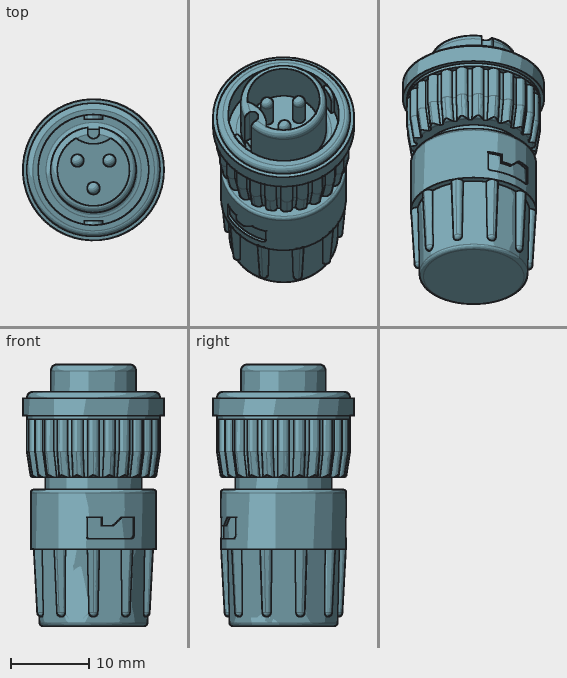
import cadquery as cq
import math

TOTAL_HEIGHT = 33.4
GRIP_RIB_END_Z = 1.8
COLLAR_BOTTOM_Z = 9.85
COLLAR_TOP_Z = 17.45
NUT_BOTTOM_Z = 19.0
NUT_TAPER_END_Z = 22.3
KNURL_TOP_Z = 26.4
FLANGE_BOTTOM_Z = 26.85
FLANGE_TOP_Z = 29.1
NUT_TOP_Z = 29.9
CAVITY_FLOOR_Z = 26.0

GRIP_BOTTOM_RADIUS = 6.9
GRIP_TOP_RADIUS = 7.15
GRIP_EDGE_FILLET = 0.5
GRIP_RIB_COUNT = 10
GRIP_RIB_TOP_RADIUS = 0.78
GRIP_RIB_END_RADIUS = 0.58
GRIP_RIB_LIFT = 0.05
GRIP_RIB_OVERLAP = 0.2

COLLAR_RADIUS = 8.0
COLLAR_EDGE_FILLET = 0.4
MARK_DEPTH = 0.35
MARK_ANGLE = 17.5
MARK_WIDTH = 6.3
MARK_BOTTOM_Z = 11.15
MARK_TOP_Z = 13.9
MARK_NOTCH_WIDTH = 2.6
MARK_NOTCH_FLAT = 1.4
MARK_NOTCH_Z = 12.8
MARK_LEFT_CORNER = 0.25
MARK_RIGHT_CORNER = 0.6

NECK_RADIUS = 6.17

FLANGE_RADIUS = 18.03 / 2
NUT_RADIUS = 8.5
NUT_CORE_RADIUS = 7.9
NUT_TAPER = 0.5
NUT_TOP_FILLET = 0.75
NUT_BORE_RADIUS = 7.05
KNURL_COUNT = 24
KNURL_RADIUS = 0.76
KNURL_END_FILLET = 0.4
BAYONET_KEY_WIDTH = 2.4
BAYONET_KEY_INNER_Y = 6.47
BAYONET_KEY_TOP_Z = 29.85

SHELL_RADIUS = 5.45
SHELL_BORE_RADIUS = 4.6
HUB_RADIUS = 5.2
HUB_FILLET = 0.87
HUB_TOP_Z = CAVITY_FLOOR_Z + HUB_FILLET
POLAR_KEY_RADIUS = 3.7
POLAR_KEY_INNER_Y = 3.3
KEY_SLOT_RADIUS = 0.75
KEY_SLOT_CENTER_Y = 4.72
CONTACT_COUNT = 3
CONTACT_CIRCLE_RADIUS = 2.35
CONTACT_RADIUS = 0.8
CONTACT_TIP_Z = 31.5


def cylinder(radius, bottom, top):
    return cq.Workplane("XY").workplane(offset=bottom).circle(radius).extrude(top - bottom)


def cone(bottom_radius, top_radius, bottom, top):
    height = top - bottom
    return cq.Workplane(cq.Solid.makeCone(bottom_radius, top_radius, height, cq.Vector(0, 0, bottom)))


def leaning_rod(radius, bottom_x, top_x, bottom, top):
    """Rod with level ends that leans in the XZ plane."""
    return (
        cq.Workplane("XY")
        .workplane(offset=bottom)
        .center(bottom_x, 0)
        .circle(radius)
        .workplane(offset=top - bottom)
        .center(top_x - bottom_x, 0)
        .circle(radius)
        .loft(ruled=True)
    )


def around_axis(shape, count, start_angle):
    """Copies of a shape, evenly spaced around Z."""
    step = 360 / count
    return [shape.rotate((0, 0, 0), (0, 0, 1), start_angle + i * step) for i in range(count)]


def join(body, shapes):
    """Fuse a list of shapes to a body in one step."""
    return cq.Workplane(body.val().fuse(*[shape.val() for shape in shapes]))


def make_grip():
    grip = cone(GRIP_BOTTOM_RADIUS, GRIP_TOP_RADIUS, 0, COLLAR_BOTTOM_Z)
    grip = grip.faces("<Z").edges().fillet(GRIP_EDGE_FILLET)
    rib_foot = cq.Vector(GRIP_BOTTOM_RADIUS + GRIP_RIB_LIFT, 0, GRIP_RIB_END_Z)
    rib_head = cq.Vector(GRIP_TOP_RADIUS + GRIP_RIB_LIFT, 0, COLLAR_BOTTOM_Z + GRIP_RIB_OVERLAP)
    rib_axis = rib_head - rib_foot
    rib = cq.Workplane(
        cq.Solid.makeCone(GRIP_RIB_END_RADIUS, GRIP_RIB_TOP_RADIUS, rib_axis.Length, rib_foot, rib_axis)
    )
    tip = cq.Workplane("XY").sphere(GRIP_RIB_END_RADIUS)
    rib = rib.union(tip.translate(rib_foot))
    return join(grip, around_axis(rib, GRIP_RIB_COUNT, -90))


def make_mark_cutter():
    """Recess with a one-sided sloping notch in its upper edge, cut square to the collar at its middle."""
    right = MARK_WIDTH / 2
    notch_right = MARK_NOTCH_WIDTH / 2
    prism = (
        cq.Workplane("XZ")
        .moveTo(-right, MARK_BOTTOM_Z)
        .lineTo(right, MARK_BOTTOM_Z)
        .lineTo(right, MARK_TOP_Z)
        .lineTo(notch_right, MARK_TOP_Z)
        .lineTo(MARK_NOTCH_FLAT - notch_right, MARK_NOTCH_Z)
        .lineTo(-notch_right, MARK_NOTCH_Z)
        .lineTo(-notch_right, MARK_TOP_Z)
        .lineTo(-right, MARK_TOP_Z)
        .close()
        .extrude(2 * COLLAR_RADIUS)
    )
    prism = prism.faces("<Z").edges("<X").fillet(MARK_LEFT_CORNER)
    prism = prism.faces("<Z").edges(">X").fillet(MARK_RIGHT_CORNER)
    return prism.cut(cylinder(COLLAR_RADIUS - MARK_DEPTH, COLLAR_BOTTOM_Z, COLLAR_TOP_Z))


def make_collar():
    collar = cylinder(COLLAR_RADIUS, COLLAR_BOTTOM_Z, COLLAR_TOP_Z)
    collar = collar.faces(">Z").edges().fillet(COLLAR_EDGE_FILLET)
    for cutter in around_axis(make_mark_cutter(), 2, MARK_ANGLE):
        collar = collar.cut(cutter)
    return collar


def make_knurls():
    """Round ribs that follow the nut's straight part and its taper, rounded at the lower end."""
    center = NUT_RADIUS - KNURL_RADIUS
    straight = cylinder(KNURL_RADIUS, NUT_TAPER_END_Z, KNURL_TOP_Z).translate((center, 0, 0))
    tapered = leaning_rod(KNURL_RADIUS, center - NUT_TAPER, center, NUT_BOTTOM_Z, NUT_TAPER_END_Z)
    envelope = cone(NUT_RADIUS - NUT_TAPER, NUT_RADIUS, NUT_BOTTOM_Z, NUT_TAPER_END_Z)
    envelope = envelope.faces("<Z").edges().fillet(KNURL_END_FILLET)
    knurl = straight.union(tapered.intersect(envelope))
    return around_axis(knurl, KNURL_COUNT, 0)


def make_bayonet_key():
    """Round-topped bar on the -Y side of the nut bore."""
    half_width = BAYONET_KEY_WIDTH / 2
    arc_start_z = BAYONET_KEY_TOP_Z - half_width
    return (
        cq.Workplane("XZ", origin=(0, -BAYONET_KEY_INNER_Y, 0))
        .moveTo(-half_width, CAVITY_FLOOR_Z)
        .lineTo(half_width, CAVITY_FLOOR_Z)
        .lineTo(half_width, arc_start_z)
        .threePointArc((0, BAYONET_KEY_TOP_Z), (-half_width, arc_start_z))
        .close()
        .extrude(NUT_BORE_RADIUS - BAYONET_KEY_INNER_Y)
    )


def make_nut():
    nut = cone(NUT_CORE_RADIUS - NUT_TAPER, NUT_CORE_RADIUS, NUT_BOTTOM_Z, NUT_TAPER_END_Z)
    nut = nut.union(cylinder(NUT_CORE_RADIUS, NUT_TAPER_END_Z, KNURL_TOP_Z))
    nut = join(nut, make_knurls())
    rim = cylinder(NUT_RADIUS, KNURL_TOP_Z, NUT_TOP_Z).faces(">Z").edges().fillet(NUT_TOP_FILLET)
    rim = rim.union(cylinder(FLANGE_RADIUS, FLANGE_BOTTOM_Z, FLANGE_TOP_Z))
    nut = nut.union(rim).cut(cylinder(NUT_BORE_RADIUS, CAVITY_FLOOR_Z, NUT_TOP_Z))
    return join(nut, around_axis(make_bayonet_key(), 2, 0))


def make_hub():
    """Solid base of the shell that flares out concavely onto the cavity floor."""
    lean = 1 - math.sqrt(0.5)
    return (
        cq.Workplane("XZ")
        .moveTo(0, CAVITY_FLOOR_Z)
        .lineTo(HUB_RADIUS + HUB_FILLET, CAVITY_FLOOR_Z)
        .threePointArc(
            (HUB_RADIUS + HUB_FILLET * lean, CAVITY_FLOOR_Z + HUB_FILLET * lean),
            (HUB_RADIUS, HUB_TOP_Z),
        )
        .lineTo(0, HUB_TOP_Z)
        .close()
        .revolve(360, (0, 0, 0), (0, 1, 0))
    )


def make_shell():
    """Hollow plug shell with a rounded mouth and a slotted polarising key on the +Y side."""
    wall = SHELL_RADIUS - SHELL_BORE_RADIUS
    lean = math.sqrt(0.5)
    mouth_z = TOTAL_HEIGHT - wall
    shell = (
        cq.Workplane("XZ")
        .moveTo(SHELL_BORE_RADIUS, CAVITY_FLOOR_Z)
        .lineTo(SHELL_RADIUS, CAVITY_FLOOR_Z)
        .lineTo(SHELL_RADIUS, mouth_z)
        .threePointArc(
            (SHELL_BORE_RADIUS + wall * lean, mouth_z + wall * lean),
            (SHELL_BORE_RADIUS, TOTAL_HEIGHT),
        )
        .close()
        .revolve(360, (0, 0, 0), (0, 1, 0))
    )
    key = cylinder(POLAR_KEY_RADIUS, CAVITY_FLOOR_Z, TOTAL_HEIGHT)
    key = key.translate((0, POLAR_KEY_INNER_Y + POLAR_KEY_RADIUS, 0))
    shell = shell.union(key.intersect(cylinder(SHELL_BORE_RADIUS, CAVITY_FLOOR_Z, TOTAL_HEIGHT)))
    slot = cylinder(KEY_SLOT_RADIUS, CAVITY_FLOOR_Z, TOTAL_HEIGHT).translate((0, KEY_SLOT_CENTER_Y, 0))
    opening = (
        cq.Workplane("XY")
        .workplane(offset=CAVITY_FLOOR_Z)
        .center(0, KEY_SLOT_CENTER_Y + SHELL_RADIUS / 2)
        .rect(2 * KEY_SLOT_RADIUS, SHELL_RADIUS)
        .extrude(TOTAL_HEIGHT - CAVITY_FLOOR_Z)
    )
    return shell.cut(slot.union(opening))


def make_contacts():
    contact = cylinder(CONTACT_RADIUS, CAVITY_FLOOR_Z, CONTACT_TIP_Z - CONTACT_RADIUS)
    tip = cq.Workplane("XY").sphere(CONTACT_RADIUS)
    contact = contact.union(tip.translate((0, 0, CONTACT_TIP_Z - CONTACT_RADIUS)))
    return around_axis(contact.translate((CONTACT_CIRCLE_RADIUS, 0, 0)), CONTACT_COUNT, -90)


neck = cylinder(NECK_RADIUS, COLLAR_TOP_Z, NUT_BOTTOM_Z)
solid_parts = [make_collar(), neck, make_nut(), make_hub(), make_shell()]
connector = join(make_grip(), solid_parts + make_contacts())
result = cq.Workplane(connector.solids().val())